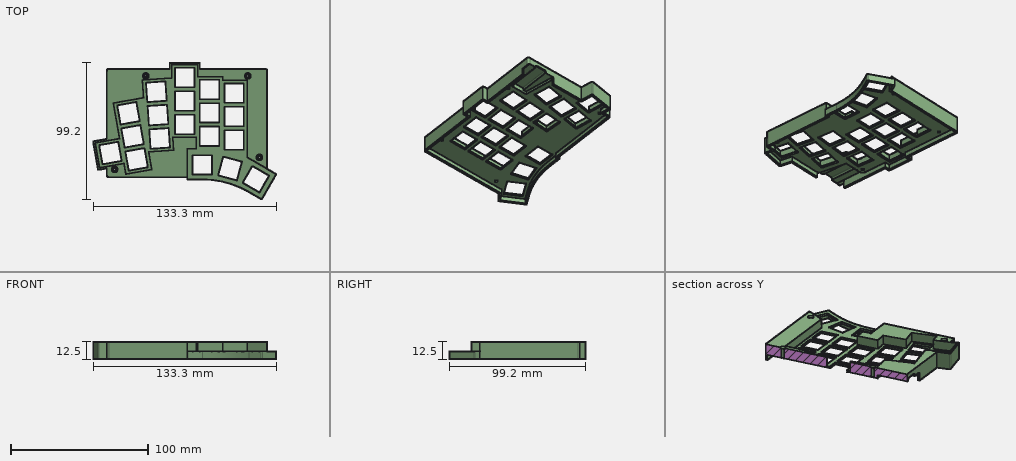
import cadquery as cq
import math


height = 12.5
plate_top = 5.6
plate_bottom = 4.0

body_x = 116.7
body_y = 79.0
body_corner = 1.5
wall = 1.5
small_corner = 0.7

cutout = 14.0
key_pitch = 17.0
column_pitch = 18.0
recess_half_x = 9.6
recess_half_y = 9.2
shell_half_x = recess_half_x + wall
shell_half_y = recess_half_y + wall

ring = (18.8, 29.8, 10)
middle = (37.3, 45.3, 4)
pointer = (56.7, 55.5, 0)
inner = (pointer[0] + column_pitch, 46.9, 0)
innermost = (inner[0] + column_pitch, 44.2, 0)
columns = [ring, middle, pointer, inner, innermost]
pinky_offset = (-column_pitch, 7.9 - key_pitch)

thumb_home = (69.5, 9.0, 0)
thumb_fan_radius = 67.4
thumb_fan_step = 15
thumb_key_count = 3

ring_gap = 3.3
middle_gap = 2.4
filler_depth = key_pitch / 2

screw_places = [(28.5, 73.7), (102.6, 73.7), (111.0, 14.5), (5.7, 5.7)]
screw_hole = 2.0
screw_head = 4.4
countersink_angle = 90
post_diameter = 8.0

pocket_top = 6.5
pocket_end_x = 24.8
pocket_south_y = 54.6
pocket_north_y = body_y - wall
pocket_key_wall = 2.3
opening_corner = 1.2
corner_gap = 6.7
corner_round = 1.9
usb_y = 67.0
usb_width = 9.3
usb_top = 8.3
usb_corner = 1.0
usb_chamfer = 0.4
chamfer_angle = 45


def at(place, dx, dy):
    """Global point of an offset given in the tilted frame of a place."""
    x, y, tilt = place
    c = math.cos(math.radians(tilt))
    s = math.sin(math.radians(tilt))
    return (x + dx * c - dy * s, y + dx * s + dy * c)


def shifted(place, dx, dy):
    return (*at(place, dx, dy), place[2])


def block(place, half_x, half_y, z0, z1):
    """Upright block centred on a place and turned by its tilt."""
    x, y, tilt = place
    solid = cq.Workplane("XY").rect(2 * half_x, 2 * half_y).extrude(z1 - z0)
    return solid.rotate((0, 0, 0), (0, 0, 1), tilt).translate((x, y, z0))


def box(x0, x1, y0, y1, z0, z1):
    return cq.Workplane("XY").box(x1 - x0, y1 - y0, z1 - z0, centered=False).translate((x0, y0, z0))


pinky = shifted(ring, *pinky_offset)
pointer_top = shifted(pointer, 0, key_pitch)

fan_centre = (thumb_home[0], thumb_home[1] - shell_half_y - thumb_fan_radius)


def fan_place(tilt):
    return (*at((*fan_centre, tilt), 0, thumb_fan_radius + shell_half_y), tilt)


thumb_keys = [fan_place(-thumb_fan_step * i) for i in range(thumb_key_count)]
thumb_tip = thumb_keys[-1]
thumb_north_y = inner[1] - key_pitch - recess_half_y


def thumb_outline(inset, z0, z1):
    """Fan-shaped block around the thumb keys, from the shell's outside moved in by inset."""
    half_x = shell_half_x - inset
    half_y = shell_half_y - inset
    west_x = thumb_home[0] - half_x
    east_x = innermost[0] + recess_half_x
    tip_top = at(thumb_tip, half_x, half_y)
    slope = math.tan(math.radians(thumb_tip[2]))
    outline = (
        cq.Workplane("XY", origin=(0, 0, z0))
        .moveTo(west_x, thumb_home[1] - half_y)
        .lineTo(*at(thumb_keys[0], 0, -half_y))
        .threePointArc(at(thumb_keys[1], 0, -half_y), at(thumb_tip, 0, -half_y))
        .lineTo(*at(thumb_tip, half_x, -half_y))
        .lineTo(*tip_top)
        .lineTo(east_x, tip_top[1] + slope * (east_x - tip_top[0]))
        .lineTo(east_x, thumb_north_y)
        .lineTo(west_x, thumb_north_y)
        .close()
    )
    return outline.extrude(z1 - z0)


def make_shell():
    """Solid outside: body, the two key boxes that overhang it, and the low thumb fan."""
    body = box(0, body_x, 0, body_y, 0, height).edges("|Z").fillet(body_corner)
    body = body.cut(thumb_outline(0, plate_top, height))
    pinky_box = block(pinky, shell_half_x, shell_half_y, 0, height)
    body = body.union(pinky_box.edges("|Z").fillet(small_corner))
    body = body.union(block(pointer_top, shell_half_x, shell_half_y, 0, height))
    fan = thumb_outline(0, 0, plate_top)
    corners = [
        (thumb_home[0] - shell_half_x, thumb_home[1] - shell_half_y),
        at(thumb_tip, shell_half_x, -shell_half_y),
        at(thumb_tip, shell_half_x, shell_half_y),
    ]
    for x, y in corners:
        fan = fan.edges(cq.selectors.NearestToPointSelector((x, y, plate_top / 2))).fillet(small_corner)
    return body.union(fan)


def make_recess():
    """Space above the switch plate, around all finger columns."""
    column_half_y = key_pitch + recess_half_y
    recess = block(pinky, recess_half_x, recess_half_y, plate_top, height)
    for column in columns:
        recess = recess.union(block(column, recess_half_x, column_half_y, plate_top, height))
    for column, gap in ((ring, ring_gap), (middle, middle_gap)):
        half_y = (column_half_y + filler_depth) / 2
        filler = shifted(column, gap / 2, column_half_y - half_y)
        recess = recess.union(block(filler, recess_half_x + gap / 2, half_y, plate_top, height))
    return recess.union(thumb_outline(0, plate_top, height))


def make_cavity():
    """Open space under the switch plate, one wall thickness inside the shell."""
    cavity = box(wall, body_x - wall, wall, body_y - wall, 0, plate_bottom)
    for key in (pinky, pointer_top):
        cavity = cavity.union(block(key, recess_half_x, recess_half_y, 0, plate_bottom))
    return cavity.union(thumb_outline(wall, 0, plate_bottom))


def make_cutouts():
    keys = [pinky, *thumb_keys]
    for column in columns:
        keys += [shifted(column, 0, row * key_pitch) for row in (-1, 0, 1)]
    cutouts = cq.Workplane("XY")
    for key in keys:
        cutouts = cutouts.add(block(key, cutout / 2, cutout / 2, 0, height))
    return cutouts.combine()


def make_controller_pocket():
    """Room for the controller board, with a west opening and a raised USB port."""
    post_x, post_y = screw_places[0]
    usb_south_y = usb_y - usb_width / 2
    usb_north_y = usb_y + usb_width / 2

    board = box(wall, pocket_end_x, pocket_south_y, pocket_north_y, plate_bottom, pocket_top)
    beside_post = box(wall, post_x, usb_north_y, pocket_north_y, plate_bottom, pocket_top)
    post = cq.Workplane("XY").center(post_x, post_y).circle(post_diameter / 2).extrude(height)
    key_wall_half_y = key_pitch + recess_half_y + pocket_key_wall
    key_wall = block(ring, column_pitch, key_wall_half_y, 0, height)
    pocket = board.union(beside_post).cut(post).cut(key_wall)

    usb = box(0, pocket_end_x, usb_south_y, usb_north_y, plate_bottom, usb_top)
    pocket = pocket.union(usb.edges("|X and >Z").fillet(usb_corner))
    mouth_width = usb_width + 2 * usb_chamfer
    mouth_height = usb_top - plate_bottom + 2 * usb_chamfer
    mouth = (
        cq.Workplane("YZ", origin=(0, usb_y, (usb_top + plate_bottom) / 2))
        .sketch().rect(mouth_width, mouth_height).vertices().fillet(usb_corner + usb_chamfer).finalize()
        .extrude(usb_chamfer, taper=chamfer_angle)
    )
    pocket = pocket.union(mouth)

    opening = box(-wall, wall, pocket_south_y, pocket_north_y, -wall, pocket_top)
    pocket = pocket.union(opening.edges("|X and >Z and <Y").fillet(opening_corner))
    corner = box(-wall, corner_gap, pocket_north_y - wall, body_y, -wall, pocket_top)
    return pocket.union(corner.edges("|X and >Z and >Y").fillet(corner_round))


result = make_shell()
for space in (make_recess(), make_cavity(), make_controller_pocket(), make_cutouts()):
    result = result.cut(space)

result = (
    result.faces(">Z").workplane(origin=(0, 0, height))
    .pushPoints(screw_places)
    .cskHole(screw_hole, screw_head, countersink_angle)
)